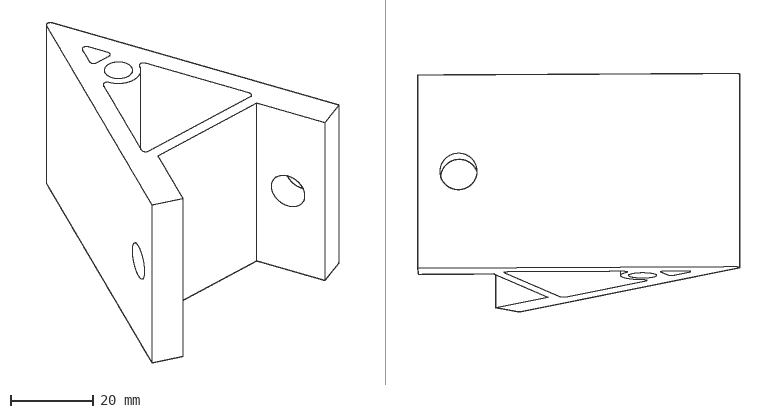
import cadquery as cq
import math

overall_length = 78.6
height = 48.0
half_angle = 22.5
edge_radius = 1.0

rail_thickness = 8.0
wall_thickness = 5.0

web_outer_distance = 59.95
web_thickness = 3.0
web_inner_distance = web_outer_distance - web_thickness

boss_distance = 27.5
boss_radius = 5.4
boss_hole_diameter = 6.8
small_pocket_end = 21.7

bolt_hole_diameter = 9.0
bolt_hole_end_offset = 10.0

cos_half = math.cos(math.radians(half_angle))
sin_half = math.sin(math.radians(half_angle))
tan_half = sin_half / cos_half

rail_length = overall_length + edge_radius * (1 / tan_half - 1)
LOWER = -1
UPPER = 1


def rail_point(along, depth, side):
    """Point at a distance along a rail's outer face and a depth inward from it."""
    x = along * cos_half + depth * sin_half
    y = side * (along * sin_half - depth * cos_half)
    return (x, y)


def cross_point(distance, depth, side):
    """Point at a given depth in a rail, on a cross line at a distance from the nose."""
    along = (distance - depth * sin_half) / cos_half
    return rail_point(along, depth, side)


def make_body():
    outline = [
        (0, 0),
        rail_point(rail_length, 0, LOWER),
        rail_point(rail_length, rail_thickness, LOWER),
        cross_point(web_outer_distance, rail_thickness, LOWER),
        cross_point(web_outer_distance, rail_thickness, UPPER),
        rail_point(rail_length, rail_thickness, UPPER),
        rail_point(rail_length, 0, UPPER),
    ]
    body = cq.Workplane("XY").polyline(outline).close().extrude(height)
    return body.edges("|Z").edges("<X").fillet(edge_radius)


def make_small_pocket():
    outline = [
        (wall_thickness / sin_half, 0),
        cross_point(small_pocket_end, wall_thickness, LOWER),
        cross_point(small_pocket_end, wall_thickness, UPPER),
    ]
    pocket = cq.Workplane("XY").polyline(outline).close().extrude(height)
    return pocket.edges("|Z").fillet(edge_radius)


def boss_corner(side):
    """Wall tangency, middle and boss tangency of the arc joining a wall to the boss."""
    boss_along = boss_distance * cos_half
    boss_depth = boss_distance * sin_half
    center_depth = wall_thickness + edge_radius
    center_spacing = boss_radius + edge_radius
    center_along = boss_along + math.sqrt(center_spacing**2 - (boss_depth - center_depth) ** 2)

    wall_angle = -math.pi / 2
    boss_angle = math.atan2(boss_depth - center_depth, boss_along - center_along) - 2 * math.pi
    points = []
    for angle in (wall_angle, (wall_angle + boss_angle) / 2, boss_angle):
        along = center_along + edge_radius * math.cos(angle)
        depth = center_depth + edge_radius * math.sin(angle)
        points.append(rail_point(along, depth, side))
    return points


def make_large_pocket():
    lower_wall, lower_middle, lower_boss = boss_corner(LOWER)
    upper_wall, upper_middle, upper_boss = boss_corner(UPPER)
    pocket = (
        cq.Workplane("XY")
        .moveTo(*lower_wall)
        .threePointArc(lower_middle, lower_boss)
        .threePointArc((boss_distance + boss_radius, 0), upper_boss)
        .threePointArc(upper_middle, upper_wall)
        .lineTo(*cross_point(web_inner_distance, wall_thickness, UPPER))
        .lineTo(*cross_point(web_inner_distance, wall_thickness, LOWER))
        .close()
        .extrude(height)
    )
    return pocket.edges("|Z").edges(">X").fillet(edge_radius)


def make_boss_hole():
    return cq.Workplane("XY").center(boss_distance, 0).circle(boss_hole_diameter / 2).extrude(height)


def make_bolt_hole(side):
    x, y = rail_point(rail_length - bolt_hole_end_offset, 0, side)
    inward = (sin_half, -side * cos_half, 0)
    plane = cq.Plane(origin=(x, y, height / 2), xDir=(0, 0, 1), normal=inward)
    return cq.Workplane(plane).circle(bolt_hole_diameter / 2).extrude(rail_thickness)


bracket = make_body().cut(make_small_pocket()).cut(make_large_pocket()).cut(make_boss_hole())
for rail_side in (LOWER, UPPER):
    bracket = bracket.cut(make_bolt_hole(rail_side))

result = bracket.rotate((0, 0, 0), (0, 0, 1), half_angle)